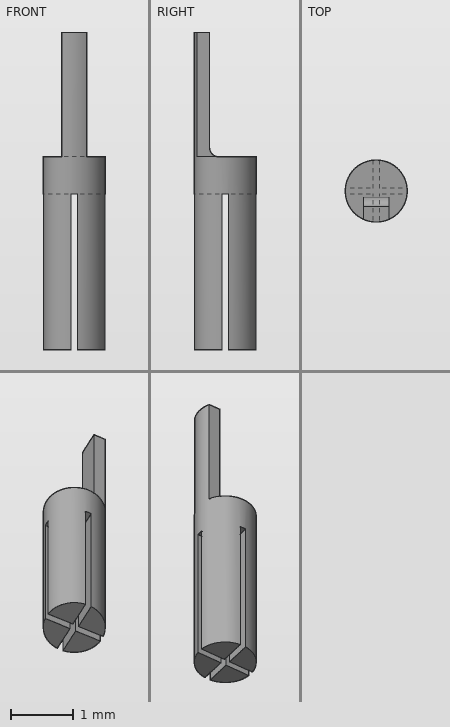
import cadquery as cq

total_height = 5.1
body_diameter = 1.0
body_height = 3.1
slot_width = 0.1
slot_height = 2.5
tail_width = 0.41
tail_inner_y = -0.25
fillet_radius = 0.15

body_radius = body_diameter / 2

body = cq.Workplane("XY").circle(body_radius).extrude(body_height)


def make_tail():
    """Solder tail: a strip of the full-height cylinder, flared into the body by a concave fillet."""
    profile = (
        cq.Workplane("YZ")
        .moveTo(-body_radius, body_height)
        .lineTo(tail_inner_y + fillet_radius, body_height)
        .radiusArc((tail_inner_y, body_height + fillet_radius), fillet_radius)
        .lineTo(tail_inner_y, total_height)
        .lineTo(-body_radius, total_height)
        .close()
        .extrude(tail_width / 2, both=True)
    )
    envelope = cq.Workplane("XY").circle(body_radius).extrude(total_height)
    return profile.intersect(envelope)


def cut_cross_slots(pin):
    """Split the lower end into four prongs with two crossing slots."""
    for length_x, length_y in ((body_diameter, slot_width), (slot_width, body_diameter)):
        slot = cq.Workplane("XY").rect(length_x, length_y).extrude(slot_height)
        pin = pin.cut(slot)
    return pin


result = cut_cross_slots(body.union(make_tail()))